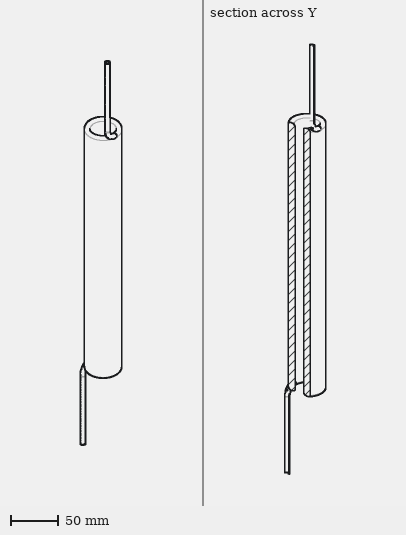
import cadquery as cq

sleeve_outer_diameter = 40.0
sleeve_inner_diameter = 28.0
sleeve_height = 318.0
wall = (sleeve_outer_diameter - sleeve_inner_diameter) / 2
rim_radius = wall / 2

pipe_outer_diameter = wall
pipe_bore_diameter = 4.0
bend_radius = 13.0
leg_length = 90.0

mid_wall_radius = (sleeve_outer_diameter + sleeve_inner_diameter) / 4
rim_center_height = sleeve_height / 2 - rim_radius


def make_sleeve():
    """Hollow cylinder centred on the origin, with fully rounded end rims."""
    inner = sleeve_inner_diameter / 2
    outer = sleeve_outer_diameter / 2
    profile = (
        cq.Workplane("XZ")
        .moveTo(inner, -rim_center_height)
        .threePointArc((mid_wall_radius, -sleeve_height / 2), (outer, -rim_center_height))
        .lineTo(outer, rim_center_height)
        .threePointArc((mid_wall_radius, sleeve_height / 2), (inner, rim_center_height))
        .close()
    )
    return profile.revolve(360, (0, 0, 0), (0, 1, 0))


def make_lead_rod(diameter, side):
    """Round rod that bends from -Y into the Z direction; side is +1 (top, +X) or -1 (bottom, -X)."""
    x = side * mid_wall_radius
    start_z = side * rim_center_height
    bend_end_z = start_z + side * bend_radius
    bend = (
        cq.Workplane("XZ", origin=(x, 0, start_z))
        .circle(diameter / 2)
        .revolve(90, (side, side * bend_radius, 0), (-side, side * bend_radius, 0))
    )
    leg = (
        cq.Workplane("XY", origin=(x, -bend_radius, bend_end_z))
        .circle(diameter / 2)
        .extrude(side * leg_length)
    )
    return bend.union(leg)


result = make_sleeve()
for lead_side in (1, -1):
    result = result.union(make_lead_rod(pipe_outer_diameter, lead_side))
for lead_side in (1, -1):
    result = result.cut(make_lead_rod(pipe_bore_diameter, lead_side))